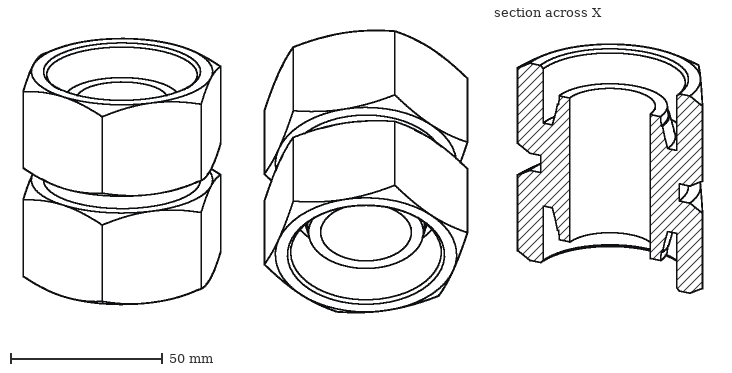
import cadquery as cq
import math

LENGTH = 71.0
ACROSS_FLATS = 60.0
NUT_HEIGHT = 32.5
HEX_CHAMFER_ANGLE = 30.0

COLLAR_DIAMETER = 52.0
THROUGH_BORE = 30.0

SOCKET_DIAMETER = 49.85
SOCKET_MOUTH_DIAMETER = 52.0
SOCKET_DEPTH = 20.5

SPIGOT_BASE_DIAMETER = 43.3
SPIGOT_SHOULDER_DIAMETER = 39.5
SPIGOT_NECK_DIAMETER = 38.6
SPIGOT_TIP_DIAMETER = 38.0
SPIGOT_NECK_HEIGHT = 3.3
SPIGOT_RECESS = 9.6

half_length = LENGTH / 2
across_corners = ACROSS_FLATS / math.cos(math.radians(30))
socket_floor = half_length - SOCKET_DEPTH
spigot_tip = half_length - SPIGOT_RECESS
spigot_shoulder = spigot_tip - SPIGOT_NECK_HEIGHT


def revolve_profile(points):
    """Revolve a closed (radius, height) outline around the Z axis."""
    return cq.Workplane("XZ").polyline(points).close().revolve(360, (0, 0), (0, 1))


def hex_nut():
    """Upper hexagon with its corners turned off conically at both ends."""
    bottom = half_length - NUT_HEIGHT
    flat_radius = ACROSS_FLATS / 2
    corner_radius = across_corners / 2
    corner_drop = (corner_radius - flat_radius) * math.tan(math.radians(HEX_CHAMFER_ANGLE))
    prism = (
        cq.Workplane("XY", origin=(0, 0, bottom))
        .transformed(rotate=(0, 0, 90))
        .polygon(6, across_corners)
        .extrude(NUT_HEIGHT)
    )
    envelope = revolve_profile([
        (0, bottom),
        (flat_radius, bottom),
        (corner_radius, bottom + corner_drop),
        (corner_radius, half_length - corner_drop),
        (flat_radius, half_length),
        (0, half_length),
    ])
    return prism.intersect(envelope)


def socket():
    """Annular space in the upper nut, around the tapered spigot and open above it."""
    socket_radius = SOCKET_DIAMETER / 2
    mouth_radius = SOCKET_MOUTH_DIAMETER / 2
    mouth_depth = mouth_radius - socket_radius
    return revolve_profile([
        (0, spigot_tip),
        (SPIGOT_TIP_DIAMETER / 2, spigot_tip),
        (SPIGOT_NECK_DIAMETER / 2, spigot_shoulder),
        (SPIGOT_SHOULDER_DIAMETER / 2, spigot_shoulder),
        (SPIGOT_BASE_DIAMETER / 2, socket_floor),
        (socket_radius, socket_floor),
        (socket_radius, half_length - mouth_depth),
        (mouth_radius, half_length),
        (0, half_length),
    ])


upper_end = hex_nut().cut(socket())
lower_end = upper_end.mirror("XY")

collar_height = LENGTH - 2 * NUT_HEIGHT
collar = cq.Workplane("XY").circle(COLLAR_DIAMETER / 2).extrude(collar_height / 2, both=True)
through_bore = cq.Workplane("XY").circle(THROUGH_BORE / 2).extrude(half_length, both=True)

result = collar.union(upper_end).union(lower_end).cut(through_bore)